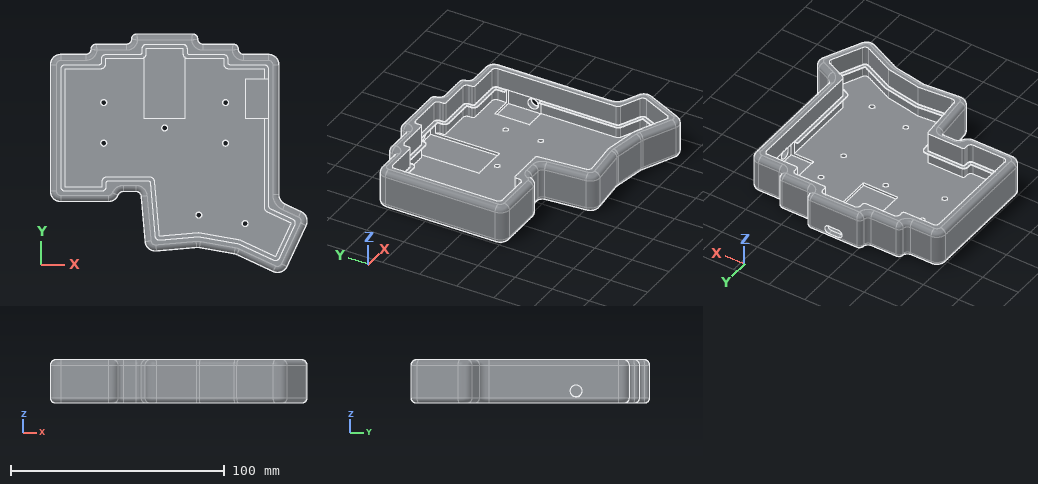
import cadquery as cq
import math

pitch = 19.0
key = 17.3
stagger = pitch / 4
half_key = key / 2
half_span = pitch + half_key
stairs_per_side = 2

height = 20.6
floor_z = 3.1
wall = 4.9
top_fillet = 2.9
bottom_fillet = 2.5

ledge_z = 10.4
ledge_width = 1.9
lip_thickness = 0.4

outer_corner = 4.9
notch_bend = 2.8
notch_shift = 0.5
step_corner = stagger / 2
pocket_corner = 2.0
pocket_step = 1.0
sharp = 0
touching = 0.001

thumb_corner = (-2.5, -50.7)
thumb_edges = [(18.5, 5), (19.6, -10), (18.4, -25)]
thumb_end_angle = 65

screw_diameter = 2.6
thumb_screws = [(16.0, -40.8), (37.7, -44.8)]

recess_depth = 1.6
recess_south = 4.3
controller_width = 19.3
controller_undercut = 2.4
jack_west = 37.8
jack_north = 23.0
jack_undercut = 1.8

usb_width = 9.6
usb_height = 4.3
usb_z = 4.8
jack_diameter = 5.5
jack_y = 9.6
jack_z = 5.8

recess_z = floor_z - recess_depth
lip_bottom = ledge_z - lip_thickness
floor_east = 2 * pitch + half_key
floor_north = half_span + stairs_per_side * stagger
controller_north = floor_north + ledge_width + controller_undercut
jack_east = floor_east + ledge_width + jack_undercut


def along(start, length, angle):
    """Point at a distance from the start, in a direction given in degrees."""
    turn = math.radians(angle)
    return (start[0] + length * math.cos(turn), start[1] + length * math.sin(turn))


def lip_corners():
    """Sharp corners of the lip opening, counterclockwise from the south-west corner."""
    west = -floor_east
    notch_x = west + key
    notch_y = stagger - half_span
    first_slope = math.tan(math.radians(thumb_edges[0][1]))
    side_x = thumb_corner[0] - (notch_y - thumb_corner[1]) * first_slope

    thumb = [thumb_corner]
    for length, angle in thumb_edges:
        thumb.append(along(thumb[-1], length, angle))
    tip = along(thumb[-1], key, thumb_end_angle)
    bend_y = tip[1] + (tip[0] - floor_east) / math.tan(math.radians(thumb_end_angle))

    stair = []
    for step in range(stairs_per_side):
        x = floor_east - (step + 1) * pitch
        y = half_span + step * stagger
        stair += [(x, y), (x, y + stagger)]
    mirrored_stair = [(-x, y) for x, y in reversed(stair)]

    south = [(west, -half_span), (notch_x, -half_span), (notch_x, notch_y), (side_x, notch_y)]
    east = [tip, (floor_east, bend_y), (floor_east, half_span)]
    return south + thumb + east + stair + mirrored_stair + [(west, half_span)]


def unit(start, end):
    """Unit vector from one point to another."""
    length = math.dist(start, end)
    return ((end[0] - start[0]) / length, (end[1] - start[1]) / length)


def corner_directions(points):
    """Each corner with the directions of the edges that enter and leave it."""
    for i, corner in enumerate(points):
        after = points[(i + 1) % len(points)]
        yield corner, unit(points[i - 1], corner), unit(corner, after)


def grown(points, distance):
    """Move every edge outward and keep the corners sharp."""
    moved = []
    for (x, y), into, out in corner_directions(points):
        scale = distance / (1 + into[0] * out[0] + into[1] * out[1])
        moved.append((x + scale * (into[1] + out[1]), y - scale * (into[0] + out[0])))
    return moved


def outer_corners():
    """Lip outline moved out to the wall; the south step slopes so that its two arcs form an S."""
    corners = grown(lip_outline, ledge_width + wall)
    slope = math.acos(1 - stagger / (outer_corner + notch_bend))
    notch_x, notch_y = corners[2]
    inner_x = notch_x + notch_shift + notch_bend * (1 - math.tan(slope / 2))
    outer_x = inner_x - stagger / math.tan(slope)
    return [corners[0], (outer_x, notch_y - stagger), (inner_x, notch_y)] + corners[3:]


def corner_radii(convex, concave, notch, bend, shallow):
    """Radii in the order of the corners; 'bend' joins the thumb cluster, 'shallow' is between its keys."""
    south = [convex, convex, notch, concave]
    thumb = [convex, shallow, shallow, convex, convex, bend]
    return south + thumb + [convex]


def stair_radii(convex, concave):
    """Radii along the north stairs, east to west."""
    return [concave, convex] * stairs_per_side + [convex, concave] * stairs_per_side


def prism(points, radii, bottom, top):
    """Extrude an outline whose corners are rounded with the given radii."""
    path = cq.Workplane(origin=(0, 0, bottom))
    pen = None
    for (corner, into, out), radius in zip(corner_directions(points), radii):
        turn = math.acos(into[0] * out[0] + into[1] * out[1])
        reach = radius * math.tan(turn / 2)
        start = (corner[0] - reach * into[0], corner[1] - reach * into[1])
        if pen is None:
            path = path.moveTo(*start)
        elif math.dist(pen, start) > touching:
            path = path.lineTo(*start)
        pen = start
        if radius:
            sag = radius / math.cos(turn / 2) - radius
            inward = unit((0, 0), (out[0] - into[0], out[1] - into[1]))
            middle = (corner[0] + sag * inward[0], corner[1] + sag * inward[1])
            pen = (corner[0] + reach * out[0], corner[1] + reach * out[1])
            path = path.threePointArc(middle, pen)
    return path.close().extrude(top - bottom)


def block(west, east, south, north, bottom, top):
    """Box between the given limits."""
    box = cq.Workplane().box(east - west, north - south, top - bottom, centered=False)
    return box.translate((west, south, bottom))


lip_outline = lip_corners()
outer_radii = (
    corner_radii(outer_corner, step_corner, notch_bend, outer_corner, outer_corner)
    + stair_radii(step_corner, step_corner) + [outer_corner]
)
pocket_radii = (
    corner_radii(pocket_corner, pocket_step, pocket_step, pocket_corner, sharp)
    + stair_radii(pocket_corner, pocket_step) + [pocket_corner]
)
lip_radii = (
    corner_radii(sharp, step_corner, step_corner, step_corner, sharp)
    + stair_radii(sharp, step_corner) + [sharp]
)

body = prism(outer_corners(), outer_radii, 0, height)
body = body.faces(">Z").edges().fillet(top_fillet)
body = body.faces("<Z").edges().fillet(bottom_fillet)

pocket_outline = grown(lip_outline, ledge_width)
body = body.cut(prism(pocket_outline, pocket_radii, ledge_z, height))
body = body.cut(prism(lip_outline, lip_radii, lip_bottom, ledge_z))
body = body.cut(prism(pocket_outline, pocket_radii, floor_z, lip_bottom))

half_controller = controller_width / 2
body = body.cut(
    block(-half_controller, half_controller, recess_south, controller_north, recess_z, lip_bottom)
)
body = body.cut(block(jack_west, jack_east, recess_south, jack_north, recess_z, ledge_z))

usb_opening = cq.Workplane("XZ", origin=(0, controller_north, usb_z)).slot2D(usb_width, usb_height)
body = body.cut(usb_opening.extrude(-wall))
jack_opening = cq.Workplane("YZ", origin=(jack_east, jack_y, jack_z)).circle(jack_diameter / 2)
body = body.cut(jack_opening.extrude(wall))

screws = [(0, 0)] + thumb_screws
for x in (-1.5 * pitch, 1.5 * pitch):
    for row in (-0.5, 0.5):
        screws.append((x, stagger / 2 + row * pitch))
result = body.cut(cq.Workplane().pushPoints(screws).circle(screw_diameter / 2).extrude(floor_z))